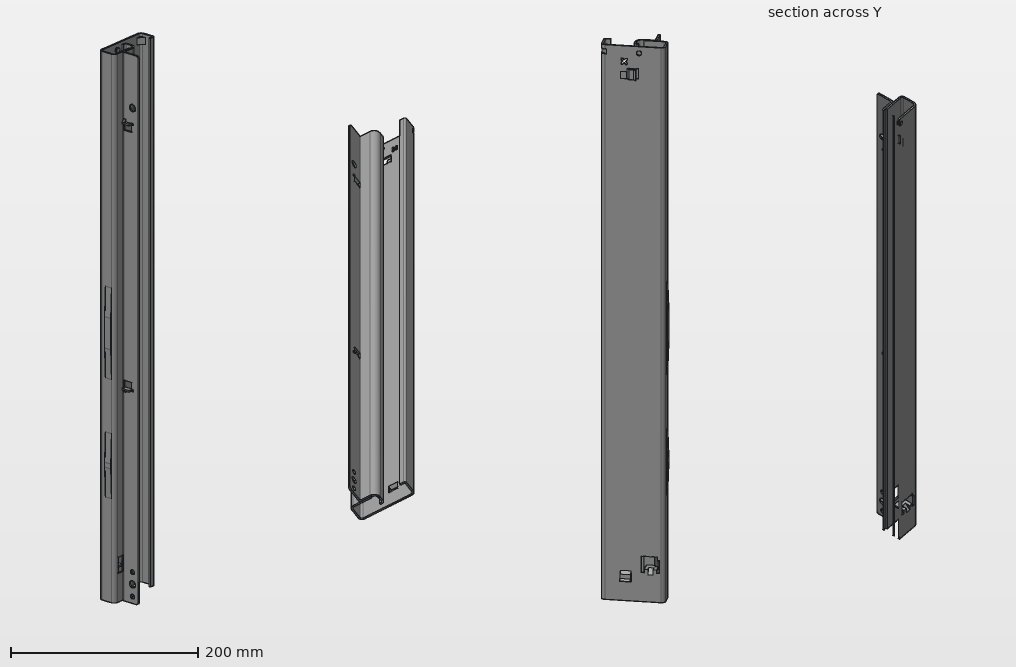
import cadquery as cq

SHEET = 2.0
LENGTH = 629.0
DEPTH = 69.5
BEND = 4.5
OVERLAP = 1.0

HOOK_LENGTH = 20.0
HOOK_LIP_BEND = 2.5
HOOK_LIP = 7.5
BOX_WIDTH = 22.0
RETURN_HEIGHT = 26.5

RAIL_INNER = BOX_WIDTH
RAIL_OUTER = BOX_WIDTH + SHEET
RAIL_TOP = 35.2
RAIL_TOP_RADIUS = 8.0
RAIL_LIP_BEND = 3.0
RAIL_LIP_X = 7.5
RAIL_LIP_END = 29.8
FLANGE_BEND = 2.2
FLANGE_END = 44.0
FLANGE_FRONT = 12.8
FLANGE_BACK = FLANGE_FRONT + SHEET
FLANGE_CORNER = 3.0

HOLE_X = 36.0
LARGE_HOLE = 8.3
SMALL_HOLE = 5.5
LOWER_HOLE_Z = 22.0
UPPER_HOLE_Z = 568.0
SMALL_HOLE_OFFSET = 14.0

STOP_WINDOW_LENGTH = 10.8
STOP_WINDOW_HEIGHT = 10.3
STOP_TAB_LENGTH = 10.0
STOP_TAB_DROP = 3.5
STOP_RELIEF = 2.0
STOP_DART_LEG = 3.0
STOP_DART_WIDTH = 3.0
LOWER_STOP_Z = 248.0
UPPER_STOP_Z = 545.0

TONGUE_X = 18.2
TONGUE_WIDTH = 3.0
TONGUE_LENGTH = 1.0

PAD_HEIGHT = 1.3
PAD_LEFT = 9.0
PAD_RIGHT = BOX_WIDTH - BEND
PAD_RAMP = 34.5
LONG_PAD_FLAT = 36.0
SHORT_PAD_FLAT = 5.5
LONG_PAD_BASE = 256.0
SHORT_PAD_BASE = 119.5

LOUVRE_REACH = 5.43
LOUVRE_WIDTH = 11.5
LOUVRE_WINDOW = 12.5
LOUVRE_PLATE = 3.8
LOUVRE_SKIN = 1.5
LOUVRE_SLOPE = 3.0
LOUVRE_TIP = 11.0
LOUVRE_KNEE = LOUVRE_TIP - 3.0

UPPER_LOUVRE_Y = 41.3
UPPER_LOUVRE_Z = 598.0
LOWER_LOUVRE_Y = 42.5
LOWER_LOUVRE_Z = 34.2

REST_LENGTH = 7.0
REST_WIDTH = 8.0
REST_HEIGHT = 0.5
REST_DROP = 2.0

CROSS_Y = 44.3
CROSS_Z = 611.3
CROSS_LENGTH = 9.0
CROSS_WIDTH = 2.4
DIMPLE_Z = 621.5
DIMPLE_Y = 28.2
DIMPLE_DIAMETER = 5.5
DIMPLE_DEPTH = 1.5

SHELF_WINDOW_BOTTOM = 33.0
SHELF_WINDOW_TOP = 51.5
SHELF_WINDOW_FRONT = 6.2
SHELF_WINDOW_BACK = 25.8
SHELF_STEP = 4.0
SHELF_Z = 35.0
SHELF_FRONT = 9.0
SHELF_STEP_Y = 12.5
SHELF_BACK = 22.5
SHELF_SHORT = 11.0
SHELF_LONG = 14.0

DART_LEG = 6.5
DART_WIDTH = 8.0
GROOVE_LEG = 6.0
GROOVE_WIDTH = 5.5


def box(x0, x1, y0, y1, z0, z1):
    """Axis-aligned block between two corners."""
    return cq.Workplane("XY").box(x1 - x0, y1 - y0, z1 - z0, centered=False).translate((x0, y0, z0))


def vertical_edges_near(x, y, reach=0.2):
    """Selector for the edges along Z that pass close to (x, y)."""
    return cq.selectors.BoxSelector((x - reach, y - reach, -reach), (x + reach, y + reach, LENGTH + reach))


def round_bend(body, outer, toward, radius):
    """Round a square sheet corner; `toward` gives the signs from the outer to the inner edge."""
    inner = (outer[0] + toward[0] * SHEET, outer[1] + toward[1] * SHEET)
    body = body.edges(vertical_edges_near(*outer)).fillet(radius)
    return body.edges("|Z").edges(vertical_edges_near(*inner)).fillet(radius - SHEET)


def channel_section():
    """Rear hook, wall, closed side and return wall as one bent sheet."""
    outline = [
        (HOOK_LENGTH, DEPTH),
        (0, DEPTH),
        (0, 0),
        (BOX_WIDTH, 0),
        (BOX_WIDTH, RETURN_HEIGHT),
        (BOX_WIDTH - SHEET, RETURN_HEIGHT),
        (BOX_WIDTH - SHEET, SHEET),
        (SHEET, SHEET),
        (SHEET, DEPTH - SHEET),
        (HOOK_LENGTH - SHEET, DEPTH - SHEET),
        (HOOK_LENGTH - SHEET, DEPTH - HOOK_LIP),
        (HOOK_LENGTH, DEPTH - HOOK_LIP),
    ]
    body = cq.Workplane("XY").polyline(outline).close().extrude(LENGTH)
    body = round_bend(body, (0, DEPTH), (1, -1), BEND)
    body = round_bend(body, (0, 0), (1, 1), BEND)
    body = round_bend(body, (HOOK_LENGTH, DEPTH), (-1, -1), HOOK_LIP_BEND)
    return round_bend(body, (BOX_WIDTH, 0), (-1, 1), BEND)


def pressed_pad(base_z, flat):
    """Low pad on the closed side that ramps up and down along Z."""
    height = 2 * PAD_RAMP + flat
    outline = [(0, 0), (-PAD_HEIGHT, PAD_RAMP), (-PAD_HEIGHT, PAD_RAMP + flat), (0, height)]
    pad = cq.Workplane("YZ").polyline(outline).close().extrude(PAD_RIGHT - PAD_LEFT)
    return pad.translate((PAD_LEFT, 0, base_z))


def louvre():
    """Hook that leaves the wall at Z = 0, runs down parallel to it and flares out at the tip."""
    inner = LOUVRE_SKIN - LOUVRE_PLATE
    half_skin = LOUVRE_SKIN / 2
    outline = [
        (SHEET, 0),
        (0, 0),
        (-LOUVRE_PLATE, -LOUVRE_SLOPE),
        (-LOUVRE_PLATE, -LOUVRE_KNEE),
        (-LOUVRE_REACH, half_skin - LOUVRE_TIP),
        (half_skin - LOUVRE_REACH, -LOUVRE_TIP),
        (inner, -LOUVRE_KNEE - half_skin),
        (inner, -LOUVRE_SLOPE - half_skin),
        (SHEET, -LOUVRE_SKIN),
    ]
    return cq.Workplane("XZ").polyline(outline).close().extrude(LOUVRE_WIDTH / 2, both=True)


def louvre_window():
    """Opening in the wall that the louvre was cut from."""
    half = LOUVRE_WIDTH / 2
    return box(-OVERLAP, SHEET + OVERLAP, -half, half, -LOUVRE_WINDOW, 0)


def place_upper(shape):
    """Turn a louvre shape to point to -Y and move it to the upper place."""
    return shape.rotate((0, 0, 0), (1, 0, 0), -90).translate((0, UPPER_LOUVRE_Y, UPPER_LOUVRE_Z))


def place_lower(shape):
    """Move a louvre shape, which points to -Z, to the lower place."""
    return shape.translate((0, LOWER_LOUVRE_Y, LOWER_LOUVRE_Z))


def cross_cut():
    """X-shaped opening made of two slots at 45 degrees."""
    slot = cq.Workplane("YZ").slot2D(CROSS_LENGTH, CROSS_WIDTH).extrude(SHEET + 2 * OVERLAP)
    slot = slot.translate((-OVERLAP, CROSS_Y, CROSS_Z))
    axis_end = (1, CROSS_Y, CROSS_Z)
    axis_start = (0, CROSS_Y, CROSS_Z)
    return slot.rotate(axis_start, axis_end, 45).union(slot.rotate(axis_start, axis_end, -45))


def add_dimple(body):
    """Round half-sheared dimple in the wall, pushed inward."""
    wall = cq.Workplane("YZ")
    boss = wall.center(DIMPLE_Y, DIMPLE_Z).circle(DIMPLE_DIAMETER / 2).extrude(SHEET + DIMPLE_DEPTH)
    recess = wall.center(DIMPLE_Y, DIMPLE_Z).circle(DIMPLE_DIAMETER / 2).extrude(DIMPLE_DEPTH)
    return body.union(boss).cut(recess)


def corner_prism(plane, origin, legs, width):
    """Right-angled triangular prism, centred on the plane, with its right angle at the origin."""
    prism = cq.Workplane(plane, origin=origin).polyline([(0, 0), (legs[0], 0), (0, legs[1])]).close()
    return prism.extrude(width / 2, both=True)


def add_hook_dart(body):
    """Stiffening dart pressed into the bend between wall and rear hook."""
    gusset = corner_prism("XY", (SHEET, DEPTH - SHEET, DIMPLE_Z), (DART_LEG, -DART_LEG), DART_WIDTH)
    groove = corner_prism("XY", (0, DEPTH, DIMPLE_Z), (GROOVE_LEG, -GROOVE_LEG), GROOVE_WIDTH)
    return body.union(gusset).cut(groove)


def shelf_window():
    """Wall opening whose upper front corner is stepped."""
    outline = [
        (SHELF_WINDOW_BACK, SHELF_WINDOW_BOTTOM),
        (SHELF_WINDOW_BACK, SHELF_WINDOW_TOP),
        (SHELF_WINDOW_FRONT + SHELF_STEP / 2, SHELF_WINDOW_TOP),
        (SHELF_WINDOW_FRONT + SHELF_STEP / 2, SHELF_WINDOW_TOP - SHELF_STEP),
        (SHELF_WINDOW_FRONT, SHELF_WINDOW_TOP - SHELF_STEP),
        (SHELF_WINDOW_FRONT, SHELF_WINDOW_BOTTOM),
    ]
    cutter = cq.Workplane("YZ").polyline(outline).close().extrude(SHEET + 2 * OVERLAP)
    return cutter.translate((-OVERLAP, 0, 0))


def add_shelf(body):
    """Plate bent inward at the foot of the window."""
    plate = (
        cq.Workplane("XY", origin=(0, 0, SHELF_Z))
        .polyline([
            (0, SHELF_FRONT),
            (SHELF_SHORT, SHELF_FRONT),
            (SHELF_SHORT, SHELF_STEP_Y),
            (SHELF_LONG, SHELF_STEP_Y),
            (SHELF_LONG, SHELF_BACK),
            (0, SHELF_BACK),
        ])
        .close()
        .extrude(SHEET)
    )
    foot = box(0, SHEET, SHELF_FRONT, SHELF_BACK, SHELF_WINDOW_BOTTOM, SHELF_Z)
    return body.union(plate).union(foot)


def add_shelf_dart(body):
    """Stiffening dart pressed into the shelf's bend."""
    middle = (SHELF_FRONT + SHELF_BACK) / 2
    gusset = corner_prism("XZ", (SHEET, middle, SHELF_Z), (DART_LEG, -DART_LEG), DART_WIDTH)
    groove = corner_prism("XZ", (0, middle, SHELF_Z + SHEET), (GROOVE_LEG, -GROOVE_LEG), GROOVE_WIDTH)
    return body.union(gusset).cut(groove)


def return_wall_notch():
    """Opening in the return wall opposite the shelf window."""
    return box(BOX_WIDTH - SHEET - OVERLAP, BOX_WIDTH + OVERLAP,
               SHELF_WINDOW_FRONT, FLANGE_BACK, SHELF_WINDOW_BOTTOM, SHELF_WINDOW_TOP)


def make_channel():
    """Channel with its pads, louvres, wall openings and darts."""
    body = channel_section()
    body = body.union(pressed_pad(LONG_PAD_BASE, LONG_PAD_FLAT))
    body = body.union(pressed_pad(SHORT_PAD_BASE, SHORT_PAD_FLAT))
    for place in (place_upper, place_lower):
        body = body.cut(place(louvre_window())).union(place(louvre()))
    rest_z = UPPER_LOUVRE_Z - REST_DROP
    rest = box(-REST_HEIGHT, 0, UPPER_LOUVRE_Y, UPPER_LOUVRE_Y + REST_LENGTH,
               rest_z - REST_WIDTH / 2, rest_z + REST_WIDTH / 2)
    body = body.union(rest).cut(cross_cut())
    body = add_hook_dart(add_dimple(body))
    body = body.cut(shelf_window()).cut(return_wall_notch())
    return add_shelf_dart(add_shelf(body))


def rail_section():
    """Lip, top, column and flange as one bent sheet."""
    outline = [
        (RAIL_LIP_X, RAIL_LIP_END),
        (RAIL_LIP_X, RAIL_TOP),
        (RAIL_OUTER, RAIL_TOP),
        (RAIL_OUTER, FLANGE_BACK),
        (FLANGE_END, FLANGE_BACK),
        (FLANGE_END, FLANGE_FRONT),
        (RAIL_INNER, FLANGE_FRONT),
        (RAIL_INNER, RAIL_TOP - SHEET),
        (RAIL_LIP_X + SHEET, RAIL_TOP - SHEET),
        (RAIL_LIP_X + SHEET, RAIL_LIP_END),
    ]
    body = cq.Workplane("XY").polyline(outline).close().extrude(LENGTH)
    body = round_bend(body, (RAIL_OUTER, RAIL_TOP), (-1, -1), RAIL_TOP_RADIUS)
    body = round_bend(body, (RAIL_LIP_X, RAIL_TOP), (1, -1), RAIL_LIP_BEND)
    body = round_bend(body, (RAIL_INNER, FLANGE_FRONT), (1, 1), FLANGE_BEND)
    return body.edges(cq.selectors.BoxSelector(
        (FLANGE_END - OVERLAP, FLANGE_FRONT, -OVERLAP),
        (FLANGE_END + OVERLAP, FLANGE_BACK, LENGTH + OVERLAP),
    )).edges("|Y").fillet(FLANGE_CORNER)


def flange_hole(z, diameter):
    """Round cutter through the flange."""
    cutter = cq.Workplane("XZ").center(HOLE_X, z).circle(diameter / 2).extrude(SHEET + 2 * OVERLAP)
    return cutter.translate((0, FLANGE_BACK + OVERLAP, 0))


def add_stop(body, z, side):
    """Flange window with a tab bent to -Y on its upper (+1) or lower (-1) edge."""
    half = STOP_WINDOW_HEIGHT / 2
    start = RAIL_INNER + FLANGE_BEND
    window = box(start, start + STOP_WINDOW_LENGTH,
                 FLANGE_FRONT - OVERLAP, FLANGE_BACK + OVERLAP, z - half, z + half)
    tab_middle = z + side * (half - SHEET / 2)
    tab = box(start, start + STOP_TAB_LENGTH, FLANGE_FRONT - STOP_TAB_DROP, FLANGE_BACK,
              tab_middle - SHEET / 2, tab_middle + SHEET / 2)
    relief_middle = z + side * (half - STOP_RELIEF / 2)
    relief = box(start, start + STOP_WINDOW_LENGTH + STOP_RELIEF,
                 FLANGE_FRONT - OVERLAP, FLANGE_BACK + OVERLAP,
                 relief_middle - STOP_RELIEF / 2, relief_middle + STOP_RELIEF / 2)
    dart_corner = (start + STOP_DART_WIDTH / 2, FLANGE_FRONT, z + side * half)
    dart = corner_prism("YZ", dart_corner, (-STOP_DART_LEG, side * STOP_DART_LEG), STOP_DART_WIDTH)
    return body.cut(window).cut(relief).union(tab).union(dart)


def make_rail():
    """J rail with its flange holes, stops and end tongue."""
    body = rail_section()
    for z in (LOWER_HOLE_Z, UPPER_HOLE_Z):
        body = body.cut(flange_hole(z, LARGE_HOLE))
    for offset in (-SMALL_HOLE_OFFSET, SMALL_HOLE_OFFSET):
        body = body.cut(flange_hole(LOWER_HOLE_Z + offset, SMALL_HOLE))
    body = add_stop(body, LOWER_STOP_Z, -1)
    body = add_stop(body, UPPER_STOP_Z, 1)
    tongue = box(TONGUE_X - TONGUE_WIDTH / 2, TONGUE_X + TONGUE_WIDTH / 2,
                 RAIL_TOP - SHEET, RAIL_TOP, -TONGUE_LENGTH, 0)
    return body.union(tongue)


channel = make_channel()
rail = make_rail()

result = cq.Compound.makeCompound([channel.val(), rail.val()])